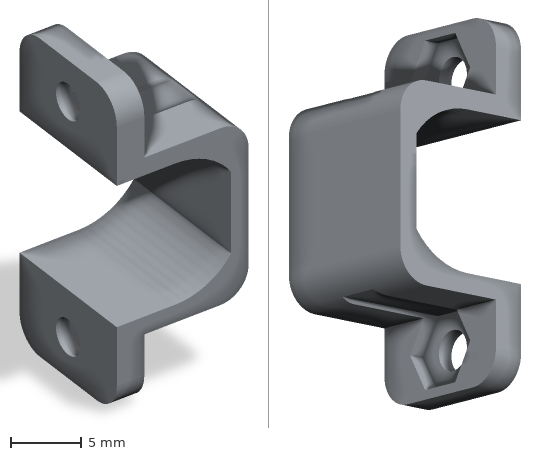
import cadquery as cq
import math

width = 12.0
depth = 11.5
height = 27.0
tab_thickness = 2.4
body_height = 15.0
wall = 1.5
corner_radius = 2.48
bore_depth = 5.1
hole_diameter = 3.0
hole_spacing = 19.98
nut_across_flats = 5.6
nut_seat_y = 1.2

bore_radius = body_height / 2 - wall
back_wall_y = depth - wall
nut_across_corners = nut_across_flats / math.cos(math.pi / 6)


def centred_box(length_y, size_z):
    """Full-width block starting at the mounting face."""
    return cq.Workplane("XY").box(width, length_y, size_z, centered=(True, False, True))


def make_plate():
    """Mounting plate with rounded corners, later split into two tabs."""
    return centred_box(tab_thickness, height).edges("|Y").fillet(corner_radius)


def make_body():
    """Block behind the plate with rounded back edges."""
    return centred_box(depth, body_height).edges("|X and >Y").fillet(corner_radius)


def make_channel():
    """Straight slot ending in a round bore that is cut flat at the back wall."""
    slot = centred_box(bore_depth, 2 * bore_radius)
    bore = (
        cq.Workplane("YZ")
        .center(bore_depth, 0)
        .circle(bore_radius)
        .extrude(width / 2, both=True)
    )
    return slot.union(bore.intersect(centred_box(back_wall_y, body_height)))


def make_screw_cut(z):
    """Screw hole through a tab and the hexagonal nut pocket running out of the back."""
    hole = cq.Workplane("XZ").center(0, z).circle(hole_diameter / 2).extrude(-nut_seat_y)
    nut = (
        cq.Workplane("XZ", origin=(0, nut_seat_y, 0))
        .center(0, z)
        .polygon(6, nut_across_corners)
        .extrude(nut_seat_y - depth)
    )
    return hole.union(nut)


result = make_plate().union(make_body()).cut(make_channel())
for side in (-1, 1):
    result = result.cut(make_screw_cut(side * hole_spacing / 2))